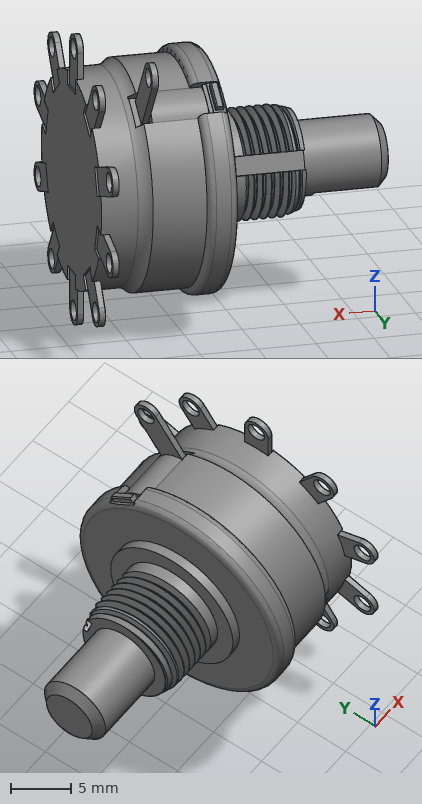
import cadquery as cq
import math


SHAFT_TIP_X = -15.15
SHAFT_RADIUS = 3.175
SHAFT_CHAMFER = 0.8
FLAT_LENGTH = 6.35
FLAT_HEIGHT = 2.43

BUSHING_FRONT_X = -7.53
BUSHING_RADIUS = 4.75
BUSHING_LEAD_LENGTH = 1.6
BUSHING_FRONT_RADIUS = 4.28
LEAD_IN_RADIUS = BUSHING_RADIUS + 0.05
FLANGE_THICKNESS = 0.9
FLANGE_RADIUS = 6.35
THREAD_PITCH = 0.75
THREAD_ROOT_RADIUS = 4.22
THREAD_ROOT_WIDTH = 0.06
THREAD_START_X = -7.98
THREAD_TURNS = 8
THREAD_FLANK_ANGLE = 30
THREAD_CLEARANCE = 0.03
KEYWAY_ANGLE = -72
KEYWAY_WIDTH = 1.65
KEYWAY_FLOOR = 3.8

RIM_RADIUS = 10.53
RIM_LENGTH = 2.6
RIM_FILLET = 0.65
BODY_RADIUS = 9.88
SHOULDER_X = 7.26
REAR_RADIUS = 9.35
REAR_START_X = 8.41
REAR_X = 11.57

TERMINAL_COUNT = 10
TERMINAL_THICKNESS = 0.54
TERMINAL_RECESS = 0.18
TERMINAL_WIDTH = 2.44
TERMINAL_HOLE_DIAMETER = 1.72
TERMINAL_HOLE_RADIUS = 11.585
TERMINAL_ROOT_RADIUS = 8.0

COMMON_ANGLE = -36
COMMON_HOLE_RADIUS = 14.26
COMMON_HOLE_DIAMETER = 1.65
CHANNEL_WIDTH = 3.1
CHANNEL_FLOOR = 9.0
CHANNEL_END_X = 7.88
NOTCH_FLOOR = 10.22
NOTCH_STEP_X = 1.25
NOTCH_STEP_DEPTH = 0.1
STRAP_START_X = 1.6
STRAP_END_X = 6.53
STRAP_CROWN_RADIUS = 10.2
TAB_START_X = 0.37
TAB_THICKNESS = 0.7
TAB_TOP = 10.72
TAB_CHAMFER = 0.11

AXIS_START = (0, 0, 0)
AXIS_END = (1, 0, 0)


def turned(shape, angle):
    """Turn a shape about the switch axis."""
    return shape.rotate(AXIS_START, AXIS_END, angle)


def block(start_x, end_x, width, bottom, top):
    """Box centred on Y = 0."""
    return (
        cq.Workplane("XY")
        .box(end_x - start_x, width, top - bottom, centered=(False, True, False))
        .translate((start_x, 0, bottom))
    )


def disc(start_x, end_x, radius):
    return cq.Workplane("YZ", origin=(start_x, 0, 0)).circle(radius).extrude(end_x - start_x)


def make_shaft():
    shaft = disc(SHAFT_TIP_X, 0, SHAFT_RADIUS).faces("<X").chamfer(SHAFT_CHAMFER)
    flat = block(
        SHAFT_TIP_X, SHAFT_TIP_X + FLAT_LENGTH, 2 * SHAFT_RADIUS, -SHAFT_RADIUS, -FLAT_HEIGHT
    )
    return shaft.cut(flat)


def make_thread_groove():
    """Helical V groove, running in from ahead of the bushing."""
    outer_radius = BUSHING_RADIUS + THREAD_CLEARANCE
    root_half = THREAD_ROOT_WIDTH / 2
    outer_half = root_half + (outer_radius - THREAD_ROOT_RADIUS) * math.tan(
        math.radians(THREAD_FLANK_ANGLE)
    )
    helix = cq.Wire.makeHelix(THREAD_PITCH, THREAD_TURNS * THREAD_PITCH, THREAD_ROOT_RADIUS)
    groove = (
        cq.Workplane("XZ")
        .polyline(
            [
                (THREAD_ROOT_RADIUS, -root_half),
                (outer_radius, -outer_half),
                (outer_radius, outer_half),
                (THREAD_ROOT_RADIUS, root_half),
            ]
        )
        .close()
        .sweep(cq.Workplane(obj=helix), isFrenet=True)
    )
    return groove.rotate(AXIS_START, (0, 1, 0), 90).translate((THREAD_START_X, 0, 0))


def make_bushing():
    threaded = disc(BUSHING_FRONT_X, 0, BUSHING_RADIUS).cut(make_thread_groove())
    lead_in = (
        cq.Workplane("XZ")
        .moveTo(BUSHING_FRONT_X, 0)
        .lineTo(BUSHING_FRONT_X, BUSHING_FRONT_RADIUS)
        .lineTo(BUSHING_FRONT_X + BUSHING_LEAD_LENGTH, LEAD_IN_RADIUS)
        .lineTo(0, LEAD_IN_RADIUS)
        .lineTo(0, 0)
        .close()
        .revolve(360, AXIS_START, AXIS_END)
    )
    bushing = threaded.intersect(lead_in)
    keyway = block(BUSHING_FRONT_X, 0, KEYWAY_WIDTH, KEYWAY_FLOOR, RIM_RADIUS)
    bushing = bushing.cut(turned(keyway, KEYWAY_ANGLE))
    return bushing.union(disc(-FLANGE_THICKNESS, 0, FLANGE_RADIUS))


def make_housing():
    rim = disc(0, RIM_LENGTH, RIM_RADIUS).edges().fillet(RIM_FILLET)
    drop = BODY_RADIUS - REAR_RADIUS
    run = REAR_START_X - SHOULDER_X
    arc_radius = (run**2 + drop**2) / (2 * drop)
    half_angle = math.atan(drop / run)
    arc_middle = (
        REAR_START_X - arc_radius * math.sin(half_angle),
        REAR_RADIUS + arc_radius * (1 - math.cos(half_angle)),
    )
    body = (
        cq.Workplane("XZ")
        .moveTo(0, 0)
        .lineTo(RIM_FILLET, 0)
        .lineTo(RIM_FILLET, BODY_RADIUS)
        .lineTo(SHOULDER_X, BODY_RADIUS)
        .threePointArc(arc_middle, (REAR_START_X, REAR_RADIUS))
        .lineTo(REAR_X, REAR_RADIUS)
        .lineTo(REAR_X, 0)
        .close()
        .revolve(360, AXIS_START, AXIS_END)
    )
    notch = block(0, NOTCH_STEP_X, CHANNEL_WIDTH, NOTCH_FLOOR, RIM_RADIUS)
    step = block(
        NOTCH_STEP_X, STRAP_START_X, CHANNEL_WIDTH, NOTCH_FLOOR - NOTCH_STEP_DEPTH, RIM_RADIUS
    )
    channel = block(STRAP_START_X, CHANNEL_END_X, CHANNEL_WIDTH, CHANNEL_FLOOR, RIM_RADIUS)
    opening = notch.union(step).union(channel)
    return rim.union(body).cut(turned(opening, COMMON_ANGLE))


def make_lug(start_x, root_radius, hole_radius, hole_diameter):
    """Flat upright strip with a rounded, pierced tip."""
    end_radius = TERMINAL_WIDTH / 2
    end_x = start_x + TERMINAL_THICKNESS
    strip = block(start_x, end_x, TERMINAL_WIDTH, root_radius, hole_radius)
    tip = disc(start_x, end_x, end_radius).translate((0, 0, hole_radius))
    hole = disc(start_x, end_x, hole_diameter / 2).translate((0, 0, hole_radius))
    return strip.union(tip).cut(hole)


def add_terminals(part):
    """Seat each terminal in a radial slot open at the rear face."""
    terminal_x = REAR_X - TERMINAL_RECESS - TERMINAL_THICKNESS
    slot = block(terminal_x, REAR_X, TERMINAL_WIDTH, TERMINAL_ROOT_RADIUS, RIM_RADIUS)
    terminal = make_lug(
        terminal_x, TERMINAL_ROOT_RADIUS, TERMINAL_HOLE_RADIUS, TERMINAL_HOLE_DIAMETER
    )
    for index in range(TERMINAL_COUNT):
        angle = index * 360 / TERMINAL_COUNT
        part = part.cut(turned(slot, angle)).union(turned(terminal, angle))
    return part


def make_common_terminal():
    half_width = CHANNEL_WIDTH / 2
    edge_height = math.sqrt(BODY_RADIUS**2 - half_width**2)
    strap = (
        cq.Workplane("YZ", origin=(STRAP_START_X, 0, 0))
        .moveTo(-half_width, CHANNEL_FLOOR)
        .lineTo(-half_width, edge_height)
        .threePointArc((0, STRAP_CROWN_RADIUS), (half_width, edge_height))
        .lineTo(half_width, CHANNEL_FLOOR)
        .close()
        .extrude(STRAP_END_X - STRAP_START_X)
    )
    lug = make_lug(
        SHOULDER_X - TERMINAL_THICKNESS, CHANNEL_FLOOR, COMMON_HOLE_RADIUS, COMMON_HOLE_DIAMETER
    )
    tab = block(
        TAB_START_X, TAB_START_X + TAB_THICKNESS, TERMINAL_WIDTH, CHANNEL_FLOOR, TAB_TOP
    )
    tab = tab.faces(">Z").edges("|Y").chamfer(TAB_CHAMFER)
    return turned(strap.union(lug).union(tab), COMMON_ANGLE)


result = make_housing().union(make_bushing()).union(make_shaft())
result = add_terminals(result).union(make_common_terminal())